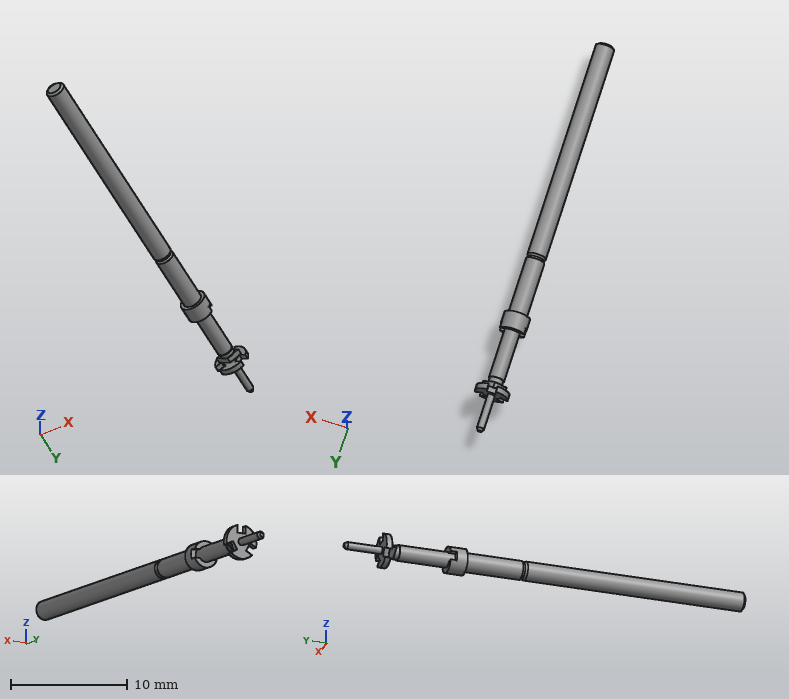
import cadquery as cq
LENGTH = 36.4
TIP_Y = LENGTH / 2
FLANGE_START = 3.4
FLANGE_END = 3.9
DRIVER_END = 4.45
NECK_END = 4.88
COLLAR_START = 9.35
COLLAR_SLOT_END = 9.9
COLLAR_END = 10.9
GROOVE_CENTRE = 16.27

PIN_RADIUS = 0.33
FLANGE_RADIUS = 1.5
NECK_RADIUS = 0.62
SLEEVE_RADIUS = 0.7
COLLAR_RADIUS = 1.15
BARREL_RADIUS = 0.85

TIP_CHAMFER_LENGTH = 0.25
TIP_CHAMFER_DEPTH = 0.15
END_CHAMFER_LENGTH = 0.2
END_CHAMFER_DEPTH = 0.22
GROOVE_WIDTH = 0.45
GROOVE_DEPTH = 0.1

DRIVER_HALF_X = 1.05
DRIVER_HALF_Z = 0.62

SLOT_WIDTH = 0.8
FLANGE_SLOT_FLOOR = 0.75
FLANGE_SLOT_ANGLES = (90, 210, 330)
COLLAR_SLOT_ANGLES = (0, 180)


def cross_section(start):
    """Sketch plane across the axis at a station, extruding towards -Y, with local x and y along X and Z."""
    return cq.Workplane("XZ", origin=(0, TIP_Y - start, 0))


def cylinder(radius, start, end):
    return cross_section(start).circle(radius).extrude(end - start)


def revolved(half_section):
    """Turn an XY half section about the Y axis."""
    return cq.Workplane("XY").polyline(half_section).close().revolve(360, (0, 0, 0), (0, 1, 0))


def chamfered_pin():
    """Pin with a conical tip."""
    half_section = [
        (0, TIP_Y),
        (PIN_RADIUS - TIP_CHAMFER_DEPTH, TIP_Y),
        (PIN_RADIUS, TIP_Y - TIP_CHAMFER_LENGTH),
        (PIN_RADIUS, TIP_Y - FLANGE_START),
        (0, TIP_Y - FLANGE_START),
    ]
    return revolved(half_section)


def grooved_barrel():
    """Long barrel with a V groove and a chamfered far end."""
    groove_y = TIP_Y - GROOVE_CENTRE
    end_y = TIP_Y - LENGTH
    half_section = [
        (0, TIP_Y - COLLAR_END),
        (BARREL_RADIUS, TIP_Y - COLLAR_END),
        (BARREL_RADIUS, groove_y + GROOVE_WIDTH / 2),
        (BARREL_RADIUS - GROOVE_DEPTH, groove_y),
        (BARREL_RADIUS, groove_y - GROOVE_WIDTH / 2),
        (BARREL_RADIUS, end_y + END_CHAMFER_LENGTH),
        (BARREL_RADIUS - END_CHAMFER_DEPTH, end_y),
        (0, end_y),
    ]
    return revolved(half_section)


def cut_radial_slots(body, start, end, floor, outer, angles):
    """Cut slots inwards from the rim down to a flat floor at the given distance from the axis."""
    for angle in angles:
        slot = (
            cross_section(start)
            .center((floor + outer) / 2, 0)
            .rect(outer - floor, SLOT_WIDTH)
            .extrude(end - start)
            .rotate((0, 0, 0), (0, 1, 0), -angle)
        )
        body = body.cut(slot)
    return body


def slotted_flange():
    disc = cylinder(FLANGE_RADIUS, FLANGE_START, FLANGE_END)
    return cut_radial_slots(
        disc, FLANGE_START, FLANGE_END, FLANGE_SLOT_FLOOR, 2 * FLANGE_RADIUS, FLANGE_SLOT_ANGLES
    )


def rhombic_driver():
    corners = [(DRIVER_HALF_X, 0), (0, DRIVER_HALF_Z), (-DRIVER_HALF_X, 0), (0, -DRIVER_HALF_Z)]
    return cross_section(FLANGE_END).polyline(corners).close().extrude(DRIVER_END - FLANGE_END)


def slotted_collar():
    """Collar with a slot in each side, open towards the pin and reaching in to the sleeve."""
    ring = cylinder(COLLAR_RADIUS, COLLAR_START, COLLAR_END)
    ring = cut_radial_slots(
        ring, COLLAR_START, COLLAR_SLOT_END, 0, 2 * COLLAR_RADIUS, COLLAR_SLOT_ANGLES
    )
    return ring.union(cylinder(SLEEVE_RADIUS, COLLAR_START, COLLAR_END))


result = (
    chamfered_pin()
    .union(slotted_flange())
    .union(rhombic_driver())
    .union(cylinder(NECK_RADIUS, DRIVER_END, NECK_END))
    .union(cylinder(SLEEVE_RADIUS, NECK_END, COLLAR_START))
    .union(slotted_collar())
    .union(grooved_barrel())
)